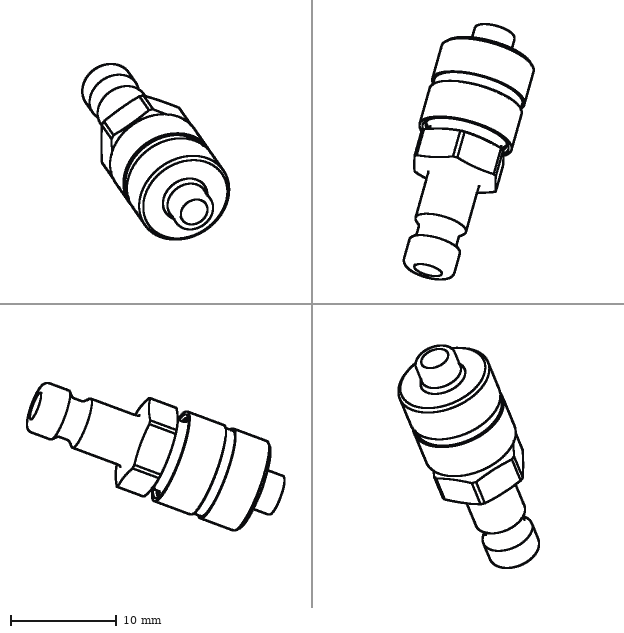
import cadquery as cq
import math


bore_diameter = 2.7
plug_radius = 5.0 / 2
tip_fillet = 0.5
groove_start = 2.5
groove_end = 4.75
groove_floor_radius = 3.95 / 2
groove_fillet = 0.5
groove_cone_angle = 45.0

hex_start = 10.0
hex_end = 13.0
hex_flats = 8.0
hex_corner_radius = 9.0 / 2
hex_chamfer_angle = 15.0
shoulder_fillet = 0.5

neck_radius = 7.0 / 2
neck_end = 14.0
flange_radius = 8.0 / 2
collar_radius = 4.5 / 2
stem_radius = 3.95 / 2
stem_end = 25.0
stem_fillet = 0.2
taper_end = 23.0
taper_angle = 20.0

sleeve_start = neck_end
sleeve_end = 22.5
sleeve_radius = 9.1 / 2
sleeve_chamfer = 0.3
mouth_radius = 8.5 / 2
end_wall = 1.5
band_start = 17.75
band_end = 18.75
band_radius = 8.7 / 2

groove_slope_length = (plug_radius - groove_floor_radius) / math.tan(math.radians(groove_cone_angle))
hex_corner_across = hex_flats / math.cos(math.pi / 6)
hex_face_radius = hex_flats / 2
hex_chamfer = (hex_corner_radius - hex_face_radius) * math.tan(math.radians(hex_chamfer_angle))
seat = sleeve_end - end_wall
flange_fillet = flange_radius - neck_radius
taper_start = taper_end - (collar_radius - stem_radius) / math.tan(math.radians(taper_angle))
mouth_chamfer = mouth_radius - flange_radius


def revolve_about_x(profile):
    return profile.close().revolve(360, (0, 0, 0), (1, 0, 0))


def make_hex():
    """Hex with corners up and down, its corners turned down and chamfered on both faces."""
    prism = (
        cq.Workplane("YZ", origin=(hex_start, 0, 0))
        .transformed(rotate=(0, 0, 90))
        .polygon(6, hex_corner_across)
        .extrude(hex_end - hex_start)
    )
    turned_blank = revolve_about_x(
        cq.Workplane("XY")
        .moveTo(hex_start, 0)
        .lineTo(hex_start, hex_face_radius)
        .lineTo(hex_start + hex_chamfer, hex_corner_radius)
        .lineTo(hex_end - hex_chamfer, hex_corner_radius)
        .lineTo(hex_end, hex_face_radius)
        .lineTo(hex_end, 0)
    )
    return prism.intersect(turned_blank)


def groove_arc_points(floor_x, toward_cone):
    """Cone end, middle and floor end of the arc between a groove cone and the groove floor."""
    cone_angle = math.radians(groove_cone_angle)
    tangent_length = groove_fillet * math.tan(cone_angle / 2)
    arc_end_x = floor_x - toward_cone * tangent_length

    def at(angle):
        return (
            arc_end_x + toward_cone * groove_fillet * math.sin(angle),
            groove_floor_radius + groove_fillet * (1 - math.cos(angle)),
        )

    return at(cone_angle), at(cone_angle / 2), at(0)


def make_nipple():
    """Turned nipple: grooved plug, hex, neck, flange, and a collar that tapers to the stem."""
    front_cone, front_middle, front_floor = groove_arc_points(groove_start + groove_slope_length, -1)
    rear_cone, rear_middle, rear_floor = groove_arc_points(groove_end - groove_slope_length, 1)
    turned = revolve_about_x(
        cq.Workplane("XY")
        .lineTo(0, plug_radius - tip_fillet)
        .radiusArc((tip_fillet, plug_radius), tip_fillet)
        .lineTo(groove_start, plug_radius)
        .lineTo(*front_cone)
        .threePointArc(front_middle, front_floor)
        .lineTo(*rear_floor)
        .threePointArc(rear_middle, rear_cone)
        .lineTo(groove_end, plug_radius)
        .lineTo(hex_start - shoulder_fillet, plug_radius)
        .radiusArc((hex_start, plug_radius + shoulder_fillet), -shoulder_fillet)
        .lineTo(hex_end, plug_radius + shoulder_fillet)
        .lineTo(hex_end, neck_radius + shoulder_fillet)
        .radiusArc((hex_end + shoulder_fillet, neck_radius), -shoulder_fillet)
        .lineTo(neck_end, neck_radius)
        .radiusArc((neck_end + flange_fillet, flange_radius), -flange_fillet)
        .lineTo(seat, flange_radius)
        .lineTo(seat, collar_radius)
        .lineTo(taper_start, collar_radius)
        .lineTo(taper_end, stem_radius)
        .lineTo(stem_end - stem_fillet, stem_radius)
        .radiusArc((stem_end, stem_radius - stem_fillet), stem_fillet)
        .lineTo(stem_end, 0)
    )
    bore = cq.Workplane("YZ").circle(bore_diameter / 2).extrude(stem_end)
    return turned.union(make_hex()).cut(bore)


def make_sleeve():
    """Sleeve with a shallow band around it, bored to fit the nipple's flange and collar."""
    return revolve_about_x(
        cq.Workplane("XY")
        .moveTo(sleeve_start + mouth_chamfer, flange_radius)
        .lineTo(sleeve_start, mouth_radius)
        .lineTo(sleeve_start, sleeve_radius)
        .lineTo(band_start, sleeve_radius)
        .lineTo(band_start, band_radius)
        .lineTo(band_end, band_radius)
        .lineTo(band_end, sleeve_radius)
        .lineTo(sleeve_end - sleeve_chamfer, sleeve_radius)
        .lineTo(sleeve_end, sleeve_radius - sleeve_chamfer)
        .lineTo(sleeve_end, collar_radius)
        .lineTo(seat, collar_radius)
        .lineTo(seat, flange_radius)
    )


nipple = make_nipple()
sleeve = make_sleeve()
result = cq.Compound.makeCompound([nipple.val(), sleeve.val()])